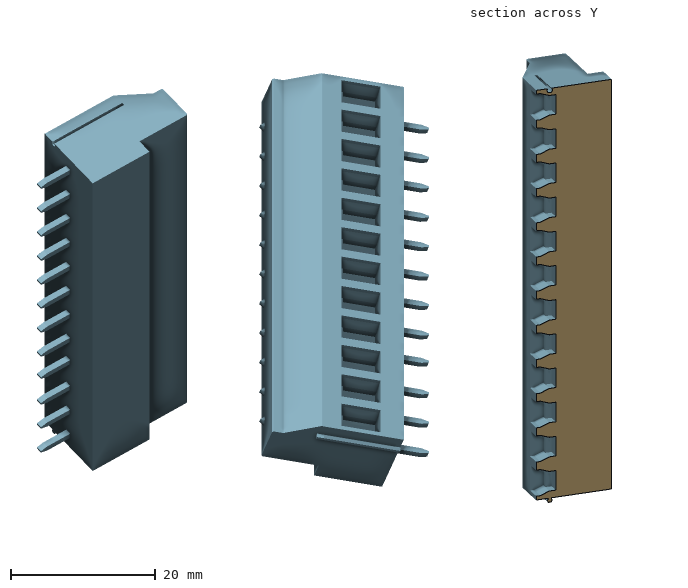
import cadquery as cq


overall_length = 61.55
key_height = 0.6
housing_length = overall_length - key_height
pole_count = 12
pitch = housing_length / pole_count
housing_width = 11.2
overall_depth = 23.5

pin_length = 5.0
pin_center_x = 5.5
pin_width = 0.9
pin_thickness = 0.85
pin_taper_length = 1.05
pin_tip_thickness = 0.3
shifted_pin = 3
pin_shift = 0.4

pip_height = 0.55
pip_center_x = 7.5
pip_half_width = 0.55
pip_half_thickness = 0.7
pip_tip_half_width = 0.4
pip_tip_half_thickness = 0.03

housing_depth = overall_depth - pin_length - pip_height
slope_start_y = 11.75
slope_end_y = 16.45
neck_left_x = 2.95
neck_right_x = 8.85
step_y = 9.7
slope_edge_radius = 0.3
far_edge_chamfer = 0.2

pocket_near_y = 3.3
pocket_far_y = 8.9
pocket_height = 3.8
pocket_lip_depth = 0.6
pocket_depth = 2.0
pocket_taper = 0.5
clamp_far_y = 8.2
clamp_depth = 0.9
clamp_height = pocket_height - 2 * pocket_taper

key_center_x = 2.05
key_root_width = 0.45
key_max_width = 0.8
key_length = 11.95
key_end_length = 1.0


def pole_center_z(index):
    """Height of a pole's middle, counted from the lower end."""
    return (index + 0.5) * pitch


def make_housing():
    """Stepped and sloped outline, chamfered at the far end and rounded at the foot of the slope."""
    outline = [
        (0, 0),
        (housing_width, 0),
        (housing_width, step_y),
        (neck_right_x, step_y),
        (neck_right_x, housing_depth),
        (neck_left_x, housing_depth),
        (neck_left_x, slope_end_y),
        (0, slope_start_y),
    ]
    block = cq.Workplane("XY").polyline(outline).close().extrude(housing_length)
    block = block.faces(">Y").edges("|Z").chamfer(far_edge_chamfer)
    return block.faces("<X").edges("|Z and >Y").fillet(slope_edge_radius)


def make_pocket(center_z):
    """Straight lip, then a funnel narrowing in Z, then a shallow clamp recess."""
    half_mouth = pocket_height / 2
    half_clamp = clamp_height / 2
    funnel_outline = [
        (0, center_z - half_mouth),
        (pocket_lip_depth, center_z - half_mouth),
        (pocket_depth, center_z - half_clamp),
        (pocket_depth, center_z + half_clamp),
        (pocket_lip_depth, center_z + half_mouth),
        (0, center_z + half_mouth),
    ]
    funnel = (
        cq.Workplane("XZ", origin=(0, pocket_far_y, 0))
        .polyline(funnel_outline)
        .close()
        .extrude(pocket_far_y - pocket_near_y)
    )
    clamp = (
        cq.Workplane("XY")
        .box(clamp_depth, clamp_far_y - pocket_near_y, clamp_height, centered=(False, False, True))
        .translate((pocket_depth, pocket_near_y, center_z))
    )
    return funnel.union(clamp)


def make_pin(center_z):
    """Flat pin toward -Y whose tip narrows in Z."""
    half_thickness = pin_thickness / 2
    half_tip = pin_tip_thickness / 2
    shoulder_y = pin_taper_length - pin_length
    outline = [
        (0, -half_thickness),
        (shoulder_y, -half_thickness),
        (-pin_length, -half_tip),
        (-pin_length, half_tip),
        (shoulder_y, half_thickness),
        (0, half_thickness),
    ]
    return (
        cq.Workplane("YZ")
        .polyline(outline)
        .close()
        .extrude(pin_width)
        .translate((pin_center_x - pin_width / 2, 0, center_z))
    )


def make_pip(center_z):
    """Nearly round base drawn out to a thin ridge along X."""
    return (
        cq.Workplane("XZ", origin=(pip_center_x, housing_depth, center_z))
        .ellipse(pip_half_width, pip_half_thickness)
        .workplane(offset=-pip_height)
        .ellipse(pip_tip_half_width, pip_tip_half_thickness)
        .loft(ruled=True)
    )


def make_key():
    """Six-sided rail under Z = 0, ending in a plain block as wide as its root."""
    half_root = key_root_width / 2
    half_max = key_max_width / 2
    outline = [
        (key_center_x - half_root, 0),
        (key_center_x - half_max, -key_height / 2),
        (key_center_x - half_root, -key_height),
        (key_center_x + half_root, -key_height),
        (key_center_x + half_max, -key_height / 2),
        (key_center_x + half_root, 0),
    ]
    rail = cq.Workplane("XZ").polyline(outline).close().extrude(key_end_length - key_length)
    end_block = (
        cq.Workplane("XY")
        .box(key_root_width, key_length, key_height, centered=(True, False, False))
        .translate((key_center_x, 0, -key_height))
    )
    return rail.union(end_block)


result = make_housing()

for pole in range(pole_count):
    result = result.cut(make_pocket(pole_center_z(pole)))

for pole in range(pole_count):
    offset = pin_shift if pole == shifted_pin else 0
    result = result.union(make_pin(pole_center_z(pole) + offset))

for boundary in range(1, pole_count):
    result = result.union(make_pip(boundary * pitch))

key = make_key()
result = result.cut(key.translate((0, 0, housing_length))).union(key)